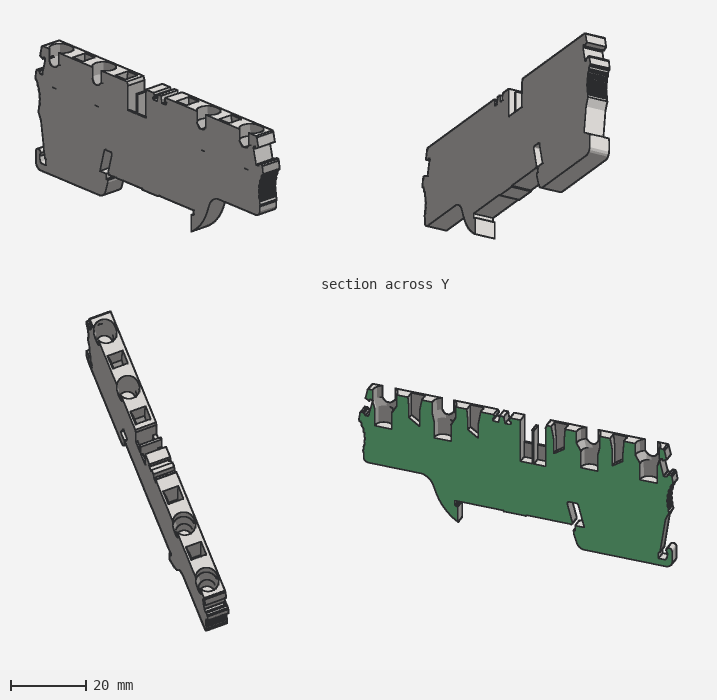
import cadquery as cq
import math

length = 90.2
thickness = 6.0
height = 36.0
end_x = length / 2
front_y = -thickness / 2
back_y = thickness / 2

grip_radius = 10.8
grip_valley_x = 43.3
grip_mid_z = 20.3
grip_top_z = 25.45
grip_pitch = 1.5
grip_teeth = 5
grip_tooth_height = 0.2
grip_teeth_top_z = 24.8
grip_tail_x = 43.95
grip_tail_z = 16.7

rail_z = 7.0
rail_pad_z = 6.8
rail_lip_z = 5.5
spring_slot_top_z = 13.8
wing_z = 13.3
foot_left_x = -44.85
foot_bottom_radius = 2.0
wing_corner_radius = 1.6
wing_end_x = 43.8

heel_top_x = -42.9
heel_top_z = 14.35
heel_bottom_z = 7.2
heel_slope = 0.15
hook_top_x = -44.1
hook_top_z = 6.0
hook_floor_z = 2.2

slot_left_x = -8.4
slot_right_x = -1.35
slot_floor_z = 27.9
slot_mouth_step = 0.4
slot_mouth_depth = 1.1
blade_x = -4.9
blade_width = 0.6
blade_top_z = 33.6
well_front_y = -2.4
well_back_y = 1.9
well_depth = 4.5

label_x = 4.1
label_wall = 2.0
label_floor_z = 34.0

driver_holes = [(37.6, 1.1, 2.9), (20.7, 0.8, 2.9)]
driver_hole_y = -0.4
driver_wall_depth = 3.5
driver_taper_depth = 2.3
driver_floor_depth = 10.8
driver_throat_shift_x = 0.4
driver_throat_shift_y = -0.1
driver_throat_radius = 2.3
driver_throat_straight = 0.4

wire_entry_x = [29.0, 12.1]
wire_entry_y = -0.2
wire_mouth_x = 3.9
wire_mouth_y = 4.3
wire_throat_x = 2.9
wire_throat_y = 3.2
wire_throat_shift_x = 0.2
wire_throat_shift_y = 0.2
wire_funnel_depth = 3.6
wire_well_depth = 7.2
wire_floor_tilt = 34.0

web_front_y = 2.4
foot_web = 1.1


def heel_x(z):
    """X of the slanted heel at height z."""
    return heel_top_x + (heel_top_z - z) * heel_slope


def grip_points():
    """Toothed arc on the +X end, from top to bottom."""
    centre_x = grip_valley_x + grip_radius

    def on_arc(z, radius):
        return (centre_x - math.sqrt(radius**2 - (z - grip_mid_z) ** 2), z)

    crest_radius = grip_radius - grip_tooth_height
    points = [on_arc(grip_top_z, grip_radius)]
    for tooth in range(grip_teeth):
        top_z = grip_teeth_top_z - tooth * grip_pitch
        points.append(on_arc(top_z, grip_radius))
        points.append(on_arc(top_z - 0.25 * grip_pitch, crest_radius))
        points.append(on_arc(top_z - 0.5 * grip_pitch, crest_radius))
        points.append(on_arc(top_z - 0.75 * grip_pitch, grip_radius))
    return points


def end_points():
    """Upper part of the +X end, from the top edge down to the last grip tooth."""
    head_and_ear = [
        (42.2, height),
        (42.6, height - 0.4),
        (43.2, 32.9),
        (42.05, 32.3),
        (41.8, 32.85),
        (41.3, 32.7),
        (41.2, 32.2),
        (42.3, 27.8),
        (42.6, 28.1),
        (43.6, 28.3),
        (43.9, 28.5),
        (44.5, 28.5),
        (44.8, 28.1),
        (end_x, 25.9),
        (end_x - 0.2, 25.5),
    ]
    return head_and_ear + grip_points()


def mirrored(points):
    """The same outline on the -X end, in reverse order."""
    return [(-x, z) for x, z in reversed(points)]


def plate():
    """Full-thickness housing plate, outlined clockwise from the top right corner."""
    outline = (
        cq.Workplane("XZ", origin=(0, back_y, 0))
        .polyline(end_points())
        .lineTo(grip_tail_x, grip_tail_z)
        .lineTo(wing_end_x, 16.15)
        .lineTo(wing_end_x, wing_z + wing_corner_radius)
        .radiusArc((wing_end_x - wing_corner_radius, wing_z), wing_corner_radius)
        .lineTo(26.9, wing_z)
        .threePointArc((24.8, 12.1), (23.6, 10.1))
        .lineTo(22.8, 7.9)
        .threePointArc((20.4, 3.9), (16.6, 0.6))
        .lineTo(16.6, rail_lip_z)
        .lineTo(17.15, rail_lip_z)
        .lineTo(17.5, 5.9)
        .lineTo(17.5, rail_z)
        .lineTo(3.7, rail_z)
        .lineTo(3.5, rail_pad_z)
        .lineTo(-2.8, rail_pad_z)
        .lineTo(-3.0, rail_z)
        .lineTo(-15.9, rail_z)
        .threePointArc((-16.15, 7.3), (-16.2, 7.7))
        .lineTo(-14.8, 13.1)
        .threePointArc((-14.9, 13.6), (-15.25, spring_slot_top_z))
        .lineTo(-17.2, spring_slot_top_z)
        .threePointArc((-17.6, 13.7), (-17.8, 13.45))
        .lineTo(-19.5, rail_z)
        .lineTo(-17.0, rail_z)
        .lineTo(-17.0, rail_lip_z)
        .lineTo(-16.4, 5.3)
        .lineTo(-16.4, 4.6)
        .lineTo(-17.3, 1.8)
        .threePointArc((-18.1, 0.5), (-19.5, 0))
        .lineTo(foot_left_x + foot_bottom_radius, 0)
        .radiusArc((foot_left_x, foot_bottom_radius), foot_bottom_radius)
        .lineTo(foot_left_x, 4.9)
        .threePointArc((-44.7, 5.5), (hook_top_x, hook_top_z))
        .lineTo(heel_x(heel_bottom_z), heel_bottom_z)
        .lineTo(heel_top_x, heel_top_z)
        .lineTo(-43.2, 15.25)
        .lineTo(-grip_tail_x, grip_tail_z)
        .polyline(mirrored(end_points()), includeCurrent=True)
        .close()
    )
    return outline.extrude(thickness)


def front_prism(points, stop_y=back_y):
    """Prism with an XZ outline, running from the front face back to stop_y."""
    return cq.Workplane("XZ", origin=(0, stop_y, 0)).polyline(points).close().extrude(stop_y - front_y)


def block(x_range, y_range, z_range):
    """Box given by its (low, high) range along each axis."""
    spans = [high - low for low, high in (x_range, y_range, z_range)]
    low_corner = (x_range[0], y_range[0], z_range[0])
    return cq.Workplane("XY").box(*spans, centered=False).translate(low_corner)


def marker_slot():
    """Slot in the top edge with a chamfered mouth; the blade is left standing."""
    slot = front_prism([
        (slot_left_x - slot_mouth_step, height),
        (slot_left_x, height - slot_mouth_depth),
        (slot_left_x, slot_floor_z),
        (slot_right_x, slot_floor_z),
        (slot_right_x, height),
    ])
    well = block(
        (slot_left_x, slot_right_x),
        (well_front_y, well_back_y),
        (slot_floor_z - well_depth, slot_floor_z),
    )
    blade = block(
        (blade_x - blade_width / 2, blade_x + blade_width / 2),
        (front_y, back_y),
        (slot_floor_z - well_depth, blade_top_z),
    )
    return slot.union(well).cut(blade)


def label_groove(side):
    """Groove with an undercut pocket on its outer side; side is -1 or +1."""
    groove = [
        (0.6, height),
        (1.0, label_floor_z),
        (label_wall, label_floor_z),
        (label_wall, 35.4),
        (label_wall + 0.4, height),
    ]
    pocket = [
        (label_wall, 35.1),
        (2.6, 34.6),
        (2.5, label_floor_z + 0.1),
        (label_wall, label_floor_z),
    ]

    def placed(points):
        return [(label_x + side * x, z) for x, z in points]

    return front_prism(placed(groove)).union(front_prism(placed(pocket), web_front_y))


def driver_hole(side, distance, straight, radius):
    """Oblong hole that breaks through the front face and tapers to an oblong throat."""
    taper_end = driver_wall_depth + driver_taper_depth
    mouth_size = (straight + 2 * radius, 2 * radius)
    throat_size = (driver_throat_straight + 2 * driver_throat_radius, 2 * driver_throat_radius)
    mouth_plane = cq.Workplane("XY", origin=(side * distance, driver_hole_y, height))
    wall = mouth_plane.slot2D(*mouth_size).extrude(-driver_wall_depth)
    taper = (
        mouth_plane.workplane(offset=-driver_wall_depth)
        .slot2D(*mouth_size)
        .workplane(offset=-driver_taper_depth)
        .center(side * driver_throat_shift_x, driver_throat_shift_y)
        .slot2D(*throat_size)
        .loft(combine=True)
    )
    throat = (
        mouth_plane.workplane(offset=-taper_end)
        .center(side * driver_throat_shift_x, driver_throat_shift_y)
        .slot2D(*throat_size)
        .extrude(taper_end - driver_floor_depth)
    )
    return wall.union(taper).union(throat)


def wire_entry(side, distance):
    """Rectangular funnel leading to a straight well with a sloping floor."""
    shift = side * wire_throat_shift_x
    funnel = (
        cq.Workplane("XY", origin=(side * distance, wire_entry_y, height))
        .rect(wire_mouth_x, wire_mouth_y)
        .workplane(offset=-wire_funnel_depth)
        .center(shift, wire_throat_shift_y)
        .rect(wire_throat_x, wire_throat_y)
        .loft(combine=True)
    )
    half = wire_throat_x / 2
    rise = half * math.tan(math.radians(wire_floor_tilt))
    floor_z = height - wire_well_depth
    centre_x = side * distance + shift
    well = (
        cq.Workplane("XZ", origin=(0, wire_entry_y + wire_throat_shift_y + wire_throat_y / 2, 0))
        .polyline([
            (centre_x - half, height - wire_funnel_depth),
            (centre_x + half, height - wire_funnel_depth),
            (centre_x + half, floor_z + side * rise),
            (centre_x - half, floor_z - side * rise),
        ])
        .close()
        .extrude(wire_throat_y)
    )
    return funnel.union(well)


def ear_groove(side):
    """Small notch behind the ear, closed by a thin web at the back."""
    corner = [(43.7, 28.6), (43.1, 27.7), (42.4, 27.7), (42.3, 28.6)]
    return front_prism([(side * x, z) for x, z in corner], web_front_y)


def foot_hook_groove():
    """Opening between the foot hook and the slanted heel, closed by the back web."""
    stop_y = back_y - foot_web
    opening = (
        cq.Workplane("XZ", origin=(0, stop_y, 0))
        .moveTo(hook_top_x, hook_top_z)
        .threePointArc((-43.3, 5.8), (-42.95, 5.05))
        .lineTo(-43.4, 4.0)
        .lineTo(-43.1, 2.7)
        .threePointArc((-42.95, 2.35), (-42.6, hook_floor_z))
        .lineTo(-40.9, hook_floor_z)
        .lineTo(-40.9, 3.8)
        .lineTo(heel_x(4.15), 4.15)
        .lineTo(heel_x(heel_bottom_z), heel_bottom_z)
        .lineTo(hook_top_x, heel_bottom_z)
        .close()
    )
    return opening.extrude(stop_y - front_y)


result = plate().cut(marker_slot()).cut(foot_hook_groove())
for side in (-1, 1):
    result = result.cut(label_groove(side)).cut(ear_groove(side))
    for distance, straight, radius in driver_holes:
        result = result.cut(driver_hole(side, distance, straight, radius))
    for distance in wire_entry_x:
        result = result.cut(wire_entry(side, distance))